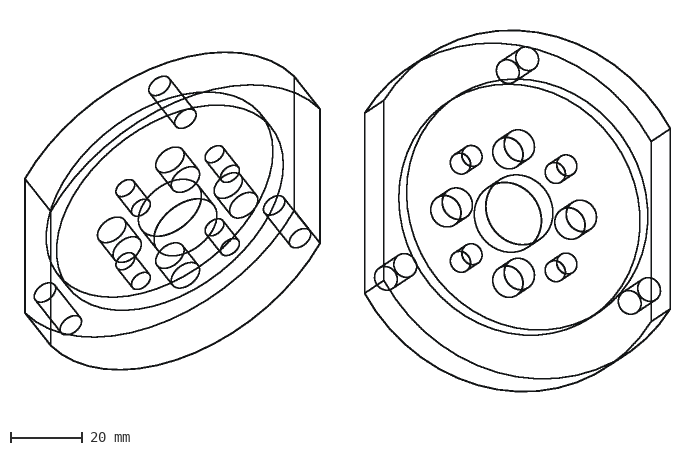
import cadquery as cq

disc_diameter = 100.0
thickness = 15.0
width_across_flats = 85.5

recess_diameter = 72.0
recess_depth = 6.0

bore_diameter = 20.0
large_hole_diameter = 9.0
large_hole_circle_radius = 18.5
small_hole_diameter = 6.0
small_hole_circle_radius = 20.0
rim_hole_diameter = 6.8
rim_hole_circle_radius = 42.0


def cylinder(diameter, length):
    """Cylinder along +X starting at the -X face of the disc."""
    return cq.Workplane("YZ").circle(diameter / 2).extrude(length)


def hole_ring(diameter, circle_radius, start_angle, count):
    """Through-hole cutters evenly spaced on a circle; angles run from +Y toward +Z."""
    return (
        cq.Workplane("YZ")
        .polarArray(circle_radius, start_angle, 360, count)
        .circle(diameter / 2)
        .extrude(thickness)
    )


flats = cq.Workplane("YZ").rect(width_across_flats, disc_diameter).extrude(thickness)
body = cylinder(disc_diameter, thickness).intersect(flats)

body = body.cut(cylinder(recess_diameter, recess_depth))
body = body.cut(cylinder(bore_diameter, thickness))
body = body.cut(hole_ring(large_hole_diameter, large_hole_circle_radius, 0, 4))
body = body.cut(hole_ring(small_hole_diameter, small_hole_circle_radius, 45, 4))
body = body.cut(hole_ring(rim_hole_diameter, rim_hole_circle_radius, 90, 3))

result = body